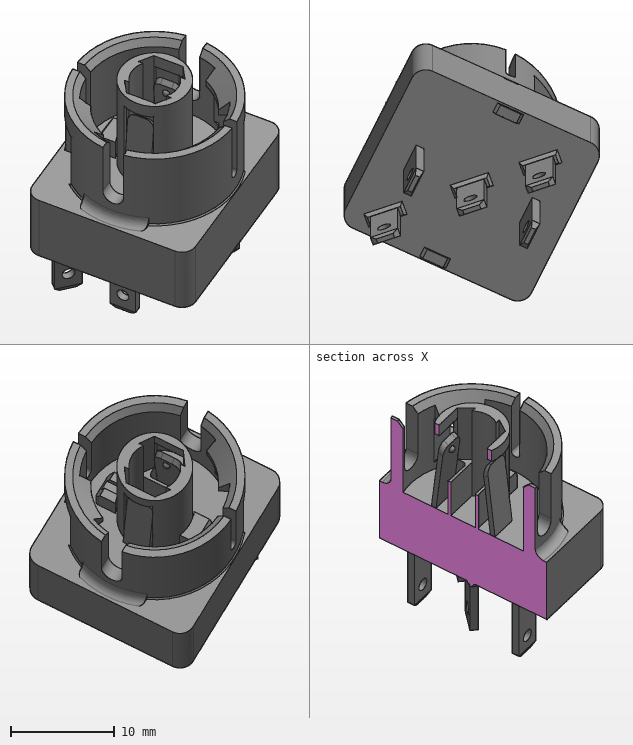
import cadquery as cq
import math

BODY_X, BODY_Y, BODY_H = 17.9, 20.0, 7.6
BODY_CORNER_R = 1.5

COLLAR_R = 17.5 / 2
COLLAR_INNER_R = 7.3
COLLAR_TOP = 16.64
COLLAR_CHAMFER = 0.66
FOOT_STEP = 0.15
WIDE_SLOT_W, NARROW_SLOT_W = 2.26, 1.0
SLOT_BOTTOM = 9.58

LUG_INNER_R = 6.2
LUG_START, LUG_END = 25.4, 64.7
WINDOW_NEAR_Y, WINDOW_FAR_Y = 2.755, 6.66
WINDOW_TOP = 14.18

BUTTRESS_R = 9.8
BUTTRESS_H = 0.95
BUTTRESS_HALF_W = 3.56
BUTTRESS_CORNER_R = 0.9

TUBE_R = 7.37 / 2
TUBE_TOP = 18.79
BORE_R = 2.5
BORE_HALF_Y = 1.45
POCKET_HALF_BASE, POCKET_HALF_TIP = 2.55, 1.6
POCKET_Y = 2.86
POCKET_FLOOR = 12.0
NOTCH_HALF_W = 1.6
NOTCH_INNER_Y = 1.75
NOTCH_TOP = 17.34
NOTCH_CORNER_R = 0.45

BLADE_W, BLADE_T = 2.84, 0.56
BLADE_FOOT_Y, BLADE_TIP_Y = 3.8, 2.86
BLADE_TOP = 16.17
BLADE_CORNER_R = 0.8
BLADE_TIP_TILT = 40
NUB_R, NUB_DROP = 0.38, 1.37

STOP_INNER_R = 3.84
STOP_W, STOP_H = 2.9, 2.2
STOP_FOOT_X, STOP_TOP_X = 5.88, 5.28
STOP_BEVEL_H = 1.13
STOP_CORNER_R = 0.45
STOP_GROOVE_W, STOP_GROOVE_DEPTH = 1.04, 0.6

PIN_W, PIN_T = 2.82, 0.82
PIN_TIP_H, PIN_TIP_W_INSET, PIN_TIP_T_INSET = 0.5, 0.55, 0.18
PIN_HOLE_D = 1.3
PIN_HOLE_ABOVE_TIP = 2.22
OVERALL_H = 25.95
STRAIGHT_PIN_LENGTH, ANGLED_PIN_LENGTH = OVERALL_H - TUBE_TOP, 7.05
STRAIGHT_PIN_Y = 6.24
ANGLED_PIN_PLACES = (-6.28, 0, 5.0)
PIN_COLLAR_H, PIN_COLLAR_TAPER = 0.54, 0.27
PIN_COLLAR_W, PIN_COLLAR_T = 3.94, 1.43

PAD_OUTER_X, PAD_INNER_X, PAD_W, PAD_H, PAD_TAPER = 8.75, 7.7, 2.8, 0.27, 0.3


def box(x0, x1, y0, y1, z0, z1):
    return cq.Workplane("XY").box(x1 - x0, y1 - y0, z1 - z0, centered=False).translate((x0, y0, z0))


def disc(radius, z0, z1):
    return cq.Workplane("XY").workplane(offset=z0).circle(radius).extrude(z1 - z0)


def half_turn(shape):
    return shape.rotate((0, 0, 0), (0, 0, 1), 180)


def tapered_block(length, width, length_inset, width_inset, z_top, height):
    """Rectangular block that narrows downwards from z_top."""
    return (
        cq.Workplane("XY").workplane(offset=z_top).rect(length, width)
        .workplane(offset=-height).rect(length - 2 * length_inset, width - 2 * width_inset)
        .loft(combine=True)
    )


def make_body():
    block = cq.Workplane("XY").rect(BODY_X, BODY_Y).extrude(BODY_H)
    return block.edges("|Z").fillet(BODY_CORNER_R)


def make_lug():
    """Sector-shaped lug in the +X +Y quarter, merging into the collar wall."""
    reach = COLLAR_R * 2
    start, end = math.radians(LUG_START), math.radians(LUG_END)
    sector = (
        cq.Workplane("XY").workplane(offset=WINDOW_TOP).moveTo(0, 0)
        .lineTo(reach * math.cos(start), reach * math.sin(start))
        .lineTo(reach * math.cos(end), reach * math.sin(end))
        .close().extrude(COLLAR_TOP - WINDOW_TOP)
    )
    middle_r = (COLLAR_INNER_R + COLLAR_R) / 2
    band = disc(middle_r, WINDOW_TOP, COLLAR_TOP).cut(disc(LUG_INNER_R, WINDOW_TOP, COLLAR_TOP))
    return sector.intersect(band)


def make_collar():
    step_r = COLLAR_R + FOOT_STEP
    ring = (
        cq.Workplane("XZ")
        .moveTo(COLLAR_INNER_R, BODY_H).lineTo(step_r, BODY_H)
        .lineTo(COLLAR_R, BODY_H + FOOT_STEP).lineTo(COLLAR_R, COLLAR_TOP)
        .lineTo(COLLAR_INNER_R, COLLAR_TOP).close()
        .revolve(360, (0, 0, 0), (0, 1, 0))
    )
    window = box(-BODY_X, 0, -WINDOW_FAR_Y, -WINDOW_NEAR_Y, BODY_H, WINDOW_TOP)
    lug = make_lug()
    ring = ring.cut(window).cut(half_turn(window)).union(lug).union(half_turn(lug))

    cone_r = COLLAR_INNER_R + COLLAR_CHAMFER
    cone = (
        cq.Workplane("XZ").moveTo(0, COLLAR_TOP).lineTo(cone_r, COLLAR_TOP)
        .lineTo(0, COLLAR_TOP - cone_r).close().revolve(360, (0, 0, 0), (0, 1, 0))
    )
    ring = ring.cut(cone)
    return ring.cut(round_slot("XZ", WIDE_SLOT_W)).cut(round_slot("YZ", NARROW_SLOT_W))


def round_slot(plane, width):
    """Open-topped slot with a round bottom, cut across both walls of the collar."""
    radius = width / 2
    return (
        cq.Workplane(plane)
        .moveTo(-radius, COLLAR_TOP).lineTo(-radius, SLOT_BOTTOM + radius)
        .threePointArc((0, SLOT_BOTTOM), (radius, SLOT_BOTTOM + radius))
        .lineTo(radius, COLLAR_TOP).close().extrude(BODY_Y, both=True)
    )


def make_buttresses():
    span = BUTTRESS_R - COLLAR_R
    diagonal = math.sqrt(0.5)
    middle = (BUTTRESS_R - span * diagonal, BODY_H + BUTTRESS_H * (1 - diagonal))
    ring = (
        cq.Workplane("XZ")
        .moveTo(COLLAR_INNER_R, BODY_H).lineTo(BUTTRESS_R, BODY_H)
        .threePointArc(middle, (COLLAR_R, BODY_H + BUTTRESS_H))
        .lineTo(COLLAR_INNER_R, BODY_H + BUTTRESS_H).close()
        .revolve(360, (0, 0, 0), (0, 1, 0))
    )
    top = BODY_H + BUTTRESS_H
    plan = box(-BUTTRESS_HALF_W, BUTTRESS_HALF_W, -BUTTRESS_R, BUTTRESS_R, BODY_H, top)
    plan = plan.intersect(disc(BUTTRESS_R, BODY_H, top)).edges("|Z").fillet(BUTTRESS_CORNER_R)
    return ring.intersect(plan)


def make_tube():
    tube = disc(TUBE_R, BODY_H, TUBE_TOP)
    bore = disc(BORE_R, BODY_H, TUBE_TOP)
    bore = bore.intersect(box(-BORE_R, BORE_R, -BORE_HALF_Y, BORE_HALF_Y, BODY_H, TUBE_TOP))
    pocket = (
        cq.Workplane("XY").workplane(offset=POCKET_FLOOR)
        .moveTo(-POCKET_HALF_BASE, -BORE_HALF_Y).lineTo(POCKET_HALF_BASE, -BORE_HALF_Y)
        .lineTo(POCKET_HALF_TIP, -POCKET_Y).lineTo(-POCKET_HALF_TIP, -POCKET_Y).close()
        .extrude(TUBE_TOP - POCKET_FLOOR)
    )
    notch = box(-NOTCH_HALF_W, NOTCH_HALF_W, -TUBE_R, -NOTCH_INNER_Y, BODY_H, NOTCH_TOP)
    notch = notch.edges("|Z and >Y").fillet(NOTCH_CORNER_R)
    opening = pocket.union(notch)
    return tube.cut(bore).cut(opening).cut(half_turn(opening))


def make_blade():
    """Contact blade on the -Y side, leaning towards the tube axis."""
    leaning_plate = (
        cq.Workplane("YZ").moveTo(-BLADE_FOOT_Y, BODY_H).lineTo(-BLADE_TIP_Y, BLADE_TOP)
        .lineTo(BLADE_T - BLADE_TIP_Y, BLADE_TOP).lineTo(BLADE_T - BLADE_FOOT_Y, BODY_H).close()
        .extrude(BLADE_W / 2, both=True)
    )
    reach = 2 * (BLADE_TOP - BODY_H)
    envelope = box(-BLADE_W / 2, BLADE_W / 2, -reach, reach, -reach, 0)
    envelope = envelope.edges("|Y and >Z").fillet(BLADE_CORNER_R)
    envelope = envelope.rotate((0, 0, 0), (1, 0, 0), -BLADE_TIP_TILT)
    plate = leaning_plate.intersect(envelope.translate((0, -BLADE_TIP_Y, BLADE_TOP)))

    slope = (BLADE_FOOT_Y - BLADE_TIP_Y) / (BLADE_TOP - BODY_H)
    nub_y = BLADE_T - BLADE_TIP_Y - slope * NUB_DROP
    nub = cq.Workplane("XY").sphere(NUB_R).translate((0, nub_y, BLADE_TOP - NUB_DROP))
    return plate.union(nub)


def make_stop():
    """Block on the +X side with a bevelled outer end."""
    top = BODY_H + STOP_H
    plan = box(0, STOP_FOOT_X, -STOP_W / 2, STOP_W / 2, BODY_H, top)
    plan = plan.edges("|Z and >X").fillet(STOP_CORNER_R)
    profile = (
        cq.Workplane("XZ").moveTo(0, BODY_H).lineTo(STOP_FOOT_X, BODY_H)
        .lineTo(STOP_FOOT_X, top - STOP_BEVEL_H).lineTo(STOP_TOP_X, top).lineTo(0, top).close()
        .extrude(STOP_W, both=True)
    )
    return plan.intersect(profile).cut(disc(STOP_INNER_R, BODY_H, top))


def make_stops():
    stop = make_stop()
    half_groove = STOP_GROOVE_W / 2
    top = BODY_H + STOP_H
    groove = box(0, STOP_FOOT_X, -half_groove, half_groove, top - STOP_GROOVE_DEPTH, top)
    return half_turn(stop).union(stop.cut(groove))


def make_pin(length):
    """Flat solder pin hanging from the origin, its width along X."""
    shank_h = length - PIN_TIP_H
    shank = box(-PIN_W / 2, PIN_W / 2, -PIN_T / 2, PIN_T / 2, -shank_h, 0)
    tip = tapered_block(PIN_W, PIN_T, PIN_TIP_W_INSET, PIN_TIP_T_INSET, -shank_h, PIN_TIP_H)
    hole = (
        cq.Workplane("XZ").center(0, PIN_HOLE_ABOVE_TIP - length)
        .circle(PIN_HOLE_D / 2).extrude(PIN_T, both=True)
    )
    return shank.union(tip).cut(hole)


def make_pins():
    straight_pin = make_pin(STRAIGHT_PIN_LENGTH)
    collar = tapered_block(
        PIN_COLLAR_W, PIN_COLLAR_T, PIN_COLLAR_TAPER, PIN_COLLAR_TAPER, 0, PIN_COLLAR_H
    )
    angled_pin = make_pin(ANGLED_PIN_LENGTH).union(collar).rotate((0, 0, 0), (0, 0, 1), 45)
    pins = [straight_pin.translate((0, y, 0)) for y in (-STRAIGHT_PIN_Y, STRAIGHT_PIN_Y)]
    pins += [angled_pin.translate((place, place, 0)) for place in ANGLED_PIN_PLACES]
    return pins


def make_pads():
    length = PAD_OUTER_X - PAD_INNER_X
    centre_x = (PAD_OUTER_X + PAD_INNER_X) / 2
    pad = tapered_block(length, PAD_W, 0, PAD_TAPER, 0, PAD_H).translate((centre_x, 0, 0))
    return pad.union(half_turn(pad))


result = make_body().union(make_collar()).union(make_buttresses())
result = result.union(make_tube()).union(make_stops())
blade = make_blade()
result = result.union(blade).union(half_turn(blade))
for pin in make_pins():
    result = result.union(pin)
result = result.union(make_pads())